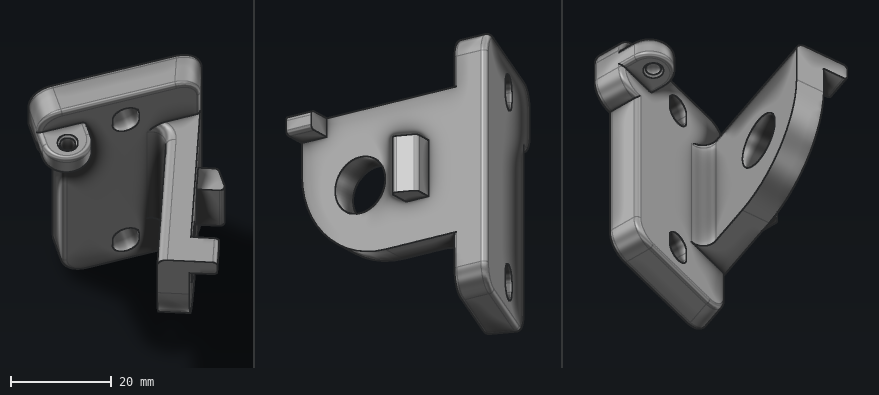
import cadquery as cq
import math

plate_thickness = 7.4
plate_height = 55.0
back_corner_y = 36.3
corner_radius = 5.0
edge_radius = 1.0
ear_depth = corner_radius
ear_height = 14.95

slot_width = 5.5
slot_length = 7.5
slot_y = 18.25
slot_heights = (7.0, 47.45)

lug_height = 5.0
lug_bottom = 45.05
lug_radius = 5.0
lug_center_x = 10.4
pin_hole_x = 11.4
pin_hole_diameter = 3.1
pin_hole_chamfer = 0.5

arm_angle = 20.0
arm_length = 44.3
arm_thickness = 6.4
arm_bottom = 12.5
arm_top = 43.5
arm_corner_radius = 20.0
arm_top_radius = 2.0
arm_root_radius = 2.95
arm_hole_diameter = 12.0
arm_hole_from_end = 13.95
arm_hole_z = 27.5

hook_length = 6.0
hook_reach = 5.6
hook_height = 4.0
stop_start = 13.9
stop_width = 5.35
stop_top_y = 35.3
stop_height = 12.0

slant_sin = math.sin(math.radians(arm_angle))
slant_cos = math.cos(math.radians(arm_angle))
slant_tan = slant_sin / slant_cos
arm_height = arm_top - arm_bottom
embed = plate_thickness / 2


def arm_plane(z):
    """Horizontal plane with x along the arm and y out of its outer face."""
    return cq.Plane(origin=(0, back_corner_y, z), xDir=(slant_cos, -slant_sin, 0), normal=(0, 0, 1))


def make_plate():
    front_corner_y = back_corner_y - plate_thickness * slant_tan
    slab = (
        cq.Workplane("XY")
        .polyline([
            (0, 0),
            (plate_thickness, 0),
            (plate_thickness, front_corner_y),
            (0, back_corner_y),
        ])
        .close()
        .extrude(plate_height)
    )
    ear_bottom = plate_height - ear_height
    slab = slab.edges("<Y and >Z").fillet(corner_radius)
    slanted_side = cq.selectors.NearestToPointSelector((embed, back_corner_y, plate_height / 2))
    slab = slab.faces(slanted_side).edges("<Z or >Z").fillet(corner_radius)

    arc_offset = corner_radius * math.sqrt(0.5)
    under_ear = (
        cq.Workplane("YZ")
        .lineTo(0, ear_bottom + corner_radius)
        .threePointArc(
            (corner_radius - arc_offset, ear_bottom + corner_radius - arc_offset),
            (ear_depth, ear_bottom),
        )
        .lineTo(ear_depth, corner_radius)
        .threePointArc(
            (ear_depth + corner_radius - arc_offset, corner_radius - arc_offset),
            (ear_depth + corner_radius, 0),
        )
        .close()
        .extrude(plate_thickness)
    )
    slab = slab.cut(under_ear)
    return slab.faces("<X or >X").edges().fillet(edge_radius)


def make_lug():
    lug = (
        cq.Workplane("XY", origin=(0, 0, lug_bottom))
        .moveTo(embed, 0)
        .lineTo(lug_center_x, 0)
        .threePointArc((lug_center_x + lug_radius, lug_radius), (lug_center_x, 2 * lug_radius))
        .lineTo(embed, 2 * lug_radius)
        .close()
        .extrude(lug_height)
    )
    return lug.faces("<Z or >Z").edges("not <X").fillet(edge_radius)


def make_pin_hole():
    hole = (
        cq.Workplane("XY", origin=(pin_hole_x, lug_radius, lug_bottom))
        .circle(pin_hole_diameter / 2)
        .extrude(lug_height)
    )
    wide_radius = pin_hole_diameter / 2 + pin_hole_chamfer
    for z, inward in ((lug_bottom, 1), (lug_bottom + lug_height, -1)):
        countersink = cq.Solid.makeCone(
            wide_radius,
            pin_hole_diameter / 2,
            pin_hole_chamfer,
            pnt=cq.Vector(pin_hole_x, lug_radius, z),
            dir=cq.Vector(0, 0, inward),
        )
        hole = hole.union(cq.Workplane(countersink))
    return hole


def make_arm():
    root_y = back_corner_y - plate_thickness * slant_tan - arm_thickness / slant_cos
    strip_end_y = root_y - 3 * arm_root_radius
    end_x = arm_length * slant_cos
    end_y = back_corner_y - arm_length * slant_sin
    arm = (
        cq.Workplane("XY", origin=(0, 0, arm_bottom))
        .polyline([
            (embed, strip_end_y),
            (plate_thickness, strip_end_y),
            (plate_thickness, root_y),
            (end_x - arm_thickness * slant_sin, end_y - arm_thickness * slant_cos),
            (end_x, end_y),
            (embed, back_corner_y - embed * slant_tan),
        ])
        .close()
        .extrude(arm_height)
    )
    arm_mid_z = (arm_bottom + arm_top) / 2
    root_edge = cq.selectors.NearestToPointSelector((plate_thickness, root_y, arm_mid_z))
    arm = arm.edges(root_edge).fillet(arm_root_radius)
    arm = arm.faces(">X").edges("<Z").fillet(arm_corner_radius)
    top_edge = cq.selectors.NearestToPointSelector((
        (plate_thickness + end_x - arm_thickness * slant_sin) / 2,
        (root_y + end_y - arm_thickness * slant_cos) / 2,
        arm_top,
    ))
    return arm.edges(top_edge).fillet(arm_top_radius)


def make_arm_hole():
    axis_plane = cq.Plane(
        origin=(0, back_corner_y, arm_hole_z),
        xDir=(slant_cos, -slant_sin, 0),
        normal=(-slant_sin, -slant_cos, 0),
    )
    return (
        cq.Workplane(axis_plane)
        .center(arm_length - arm_hole_from_end, 0)
        .circle(arm_hole_diameter / 2)
        .extrude(arm_thickness)
    )


def make_hook():
    hook = (
        cq.Workplane(arm_plane(arm_top - hook_height))
        .moveTo(arm_length - hook_length, -arm_thickness / 2)
        .rect(hook_length, hook_reach + arm_thickness / 2, centered=False)
        .extrude(hook_height)
    )
    outward = cq.Vector(slant_sin, slant_cos, 0)
    tip_face = hook.faces(cq.selectors.DirectionMinMaxSelector(outward))
    return tip_face.edges(">Z or <Z").fillet(edge_radius)


def make_stop():
    def side_point(along_arm, y):
        """Point at the given Y on the stop side that leaves the arm at along_arm."""
        out = (y - back_corner_y + along_arm * slant_sin) / slant_cos
        return (along_arm * slant_cos + out * slant_sin, y)

    def base_point(along_arm):
        """Point inside the arm below that side."""
        return side_point(along_arm, back_corner_y - along_arm * slant_sin - arm_thickness / 2)

    stop_end = stop_start + stop_width
    stop = (
        cq.Workplane("XY", origin=(0, 0, arm_hole_z - stop_height / 2))
        .polyline([
            base_point(stop_start),
            base_point(stop_end),
            side_point(stop_end, stop_top_y),
            side_point(stop_start, stop_top_y),
        ])
        .close()
        .extrude(stop_height)
    )
    return stop.faces(">Y").edges("|Z").fillet(edge_radius)


def make_slots():
    return (
        cq.Workplane("YZ")
        .pushPoints([(slot_y, z) for z in slot_heights])
        .slot2D(slot_length, slot_width, 90)
        .extrude(plate_thickness)
    )


arm = make_arm().union(make_hook()).union(make_stop())
body = make_plate().union(make_lug()).union(arm)
result = body.cut(make_slots()).cut(make_arm_hole()).cut(make_pin_hole())